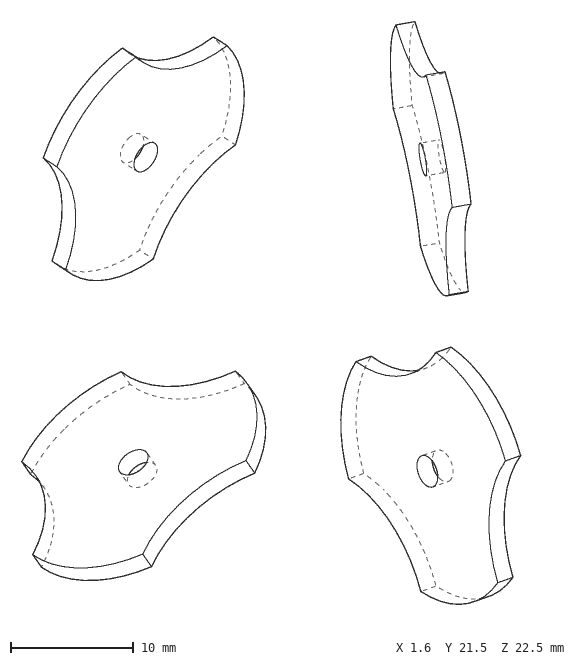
import cadquery as cq
import math

thickness = 1.6
disc_radius = 11.3
hole_diameter = 2.7
notch_radius = 11.05
notch_center_distance = 19.15
notch_count = 3
first_notch_angle = 65.0

disc = cq.Workplane("YZ").circle(disc_radius).extrude(thickness)

notch_centers = []
for index in range(notch_count):
    angle = math.radians(first_notch_angle + index * 360 / notch_count)
    center_y = notch_center_distance * math.cos(angle)
    center_z = notch_center_distance * math.sin(angle)
    notch_centers.append((center_y, center_z))
notches = cq.Workplane("YZ").pushPoints(notch_centers).circle(notch_radius).extrude(thickness)

hole = cq.Workplane("YZ").circle(hole_diameter / 2).extrude(thickness)

result = disc.cut(notches).cut(hole)